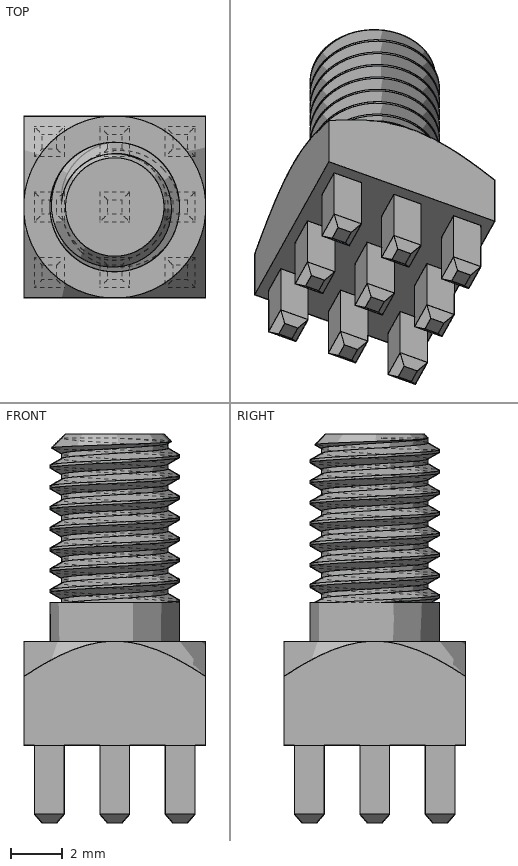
import cadquery as cq
import math

total_height = 15.0
pin_length = 3.0
block_side = 7.0
block_height = 4.0
collar_height = 1.5
top_z = total_height - pin_length
collar_top_z = block_height + collar_height

crown_radius = 3.51
corner_drop = 1.35
envelope_margin = 0.15

pins_per_side = 3
pin_pitch = 2.52
pin_width = 1.15
pin_tip_width = 0.55
pin_tip_height = 0.35

stud_radius = 5.0 / 2
stud_bevel = 0.6
root_radius = 2.05
three_turn_rise = 2.4
thread_pitch = three_turn_rise / 3
crest_width = thread_pitch / 8
flank_angle = 30.0
groove_end_angle = 172.5
groove_end_depth = 0.08
groove_overshoot = 0.05


def make_block():
    """Square block whose top corners follow a cone around a round crown."""
    corner_radius = block_side / math.sqrt(2)
    cone_slope = corner_drop / (corner_radius - crown_radius)
    envelope_radius = corner_radius + envelope_margin
    envelope_edge_z = block_height - cone_slope * (envelope_radius - crown_radius)
    block = cq.Workplane("XY").rect(block_side, block_side).extrude(block_height)
    envelope = (
        cq.Workplane("XZ")
        .moveTo(0, 0)
        .lineTo(envelope_radius, 0)
        .lineTo(envelope_radius, envelope_edge_z)
        .lineTo(crown_radius, block_height)
        .lineTo(0, block_height)
        .close()
        .revolve(360, (0, 0, 0), (0, 1, 0))
    )
    return block.intersect(envelope)


def make_pins():
    """Grid of square pins below the block, each with a tapered tip."""
    shank_length = pin_length - pin_tip_height
    grid = (pin_pitch, pin_pitch, pins_per_side, pins_per_side)
    shanks = cq.Workplane("XY").rarray(*grid).rect(pin_width, pin_width).extrude(-shank_length)
    tip = (
        cq.Workplane("XY")
        .workplane(offset=-shank_length)
        .rect(pin_width, pin_width)
        .workplane(offset=-pin_tip_height)
        .rect(pin_tip_width, pin_tip_width)
        .loft(ruled=True)
        .val()
    )
    tips = cq.Workplane("XY").rarray(*grid).eachpoint(lambda place: tip.moved(place))
    return shanks.union(tips)


def make_thread_groove():
    """Trapezoidal helical groove rising from inside the collar to near the stud end."""
    turns = math.ceil((top_z - collar_top_z) / thread_pitch)
    height = turns * thread_pitch
    flank_slope = math.tan(math.radians(flank_angle))
    crest_half = (thread_pitch - crest_width) / 2
    root_half = crest_half - flank_slope * (stud_radius - root_radius)
    outer_half = crest_half + flank_slope * groove_overshoot
    outer_radius = stud_radius + groove_overshoot
    corners = [
        (root_radius, -root_half),
        (outer_radius, -outer_half),
        (outer_radius, outer_half),
        (root_radius, root_half),
    ]
    helices = [
        cq.Wire.makeHelix(thread_pitch, height, radius, center=cq.Vector(0, 0, offset))
        for radius, offset in corners
    ]
    start_face = cq.Face.makeFromWires(cq.Wire.makePolygon([h.startPoint() for h in helices], close=True))
    end_face = cq.Face.makeFromWires(cq.Wire.makePolygon([h.endPoint() for h in helices], close=True))
    sides = [cq.Face.makeRuledSurface(helices[i - 1], helices[i]) for i in range(len(helices))]
    groove = cq.Solid.makeSolid(cq.Shell.makeShell([*sides, start_face, end_face])).fix()
    start_z = top_z - groove_end_depth - height
    return (
        cq.Workplane(obj=groove)
        .rotate((0, 0, 0), (0, 0, 1), groove_end_angle)
        .translate((0, 0, start_z))
    )


def make_stud():
    """Bevelled stud with a right-hand thread above a plain collar."""
    stud = (
        cq.Workplane("XZ")
        .moveTo(0, block_height)
        .lineTo(stud_radius, block_height)
        .lineTo(stud_radius, top_z - stud_bevel)
        .lineTo(stud_radius - stud_bevel, top_z)
        .lineTo(0, top_z)
        .close()
        .revolve(360, (0, 0, 0), (0, 1, 0))
    )
    collar = cq.Workplane("XY").workplane(offset=block_height).circle(stud_radius).extrude(collar_height)
    return stud.cut(make_thread_groove()).union(collar)


result = make_block().union(make_pins()).union(make_stud()).solids()